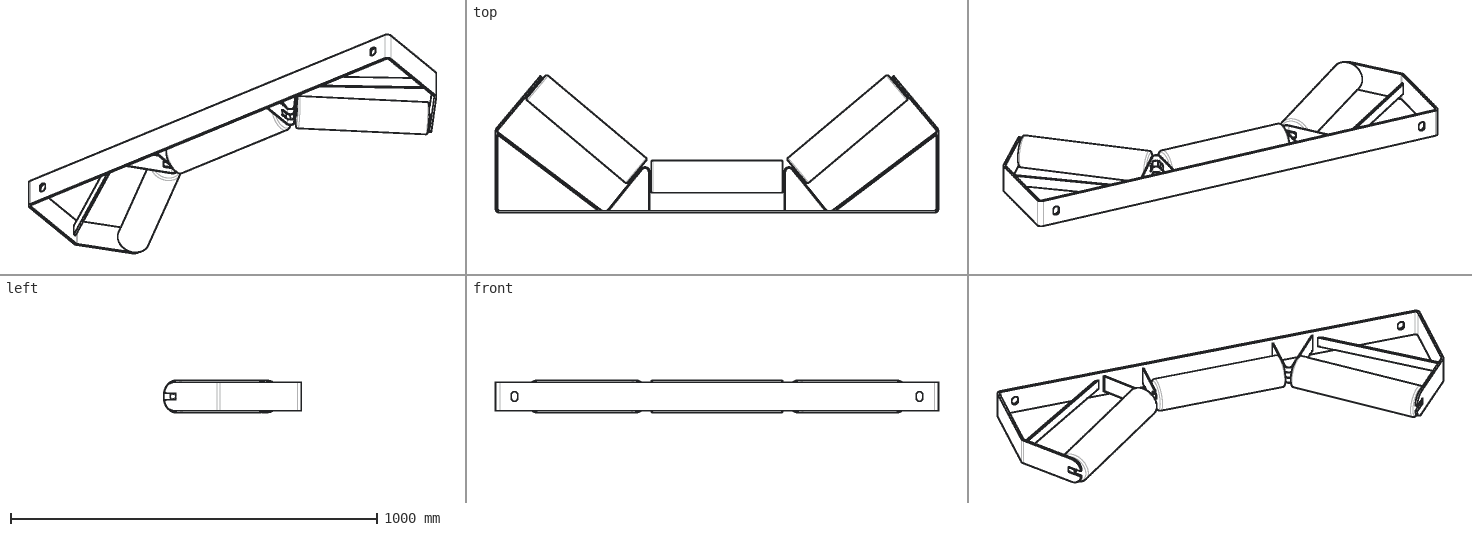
import cadquery as cq
import math

trough_angle = math.radians(40)
cos_t = math.cos(trough_angle)
sin_t = math.sin(trough_angle)

frame_length = 1210
strap_height = 78
strap_thickness = 6
bend_radius = 12
wall_rise = 228
shaft_along_arm = 160.6
arm_tip_beyond_shaft = 30
arm_tip_radius = 30

mount_slot_width = 18
mount_slot_height = 26
mount_slot_spacing = 1106

roller_diameter = 89
roller_length = 360
roller_edge_radius = 5
roller_gap = 4
shaft_diameter = 20
shaft_flat_width = 14
middle_roller_y = 99
middle_roller_gap = 4

bracket_height = 52
bracket_thickness = 3
bracket_lean = math.radians(51)
bracket_bend_radius = 13
shaft_slot_width = 18
shaft_slot_corner_radius = 4
shaft_slot_depth = 24

brace_height = 30
brace_thickness = 6
brace_wall_y = 221
brace_foot_x = -314


def move(point, direction, distance):
    """Point reached from a start point along a direction in the XY plane."""
    return (point[0] + direction[0] * distance, point[1] + direction[1] * distance)


def plate(points, height):
    """Solid with a polygon outline in XY, centred on Z = 0."""
    return cq.Workplane("XY").polyline(points).close().extrude(height / 2, both=True)


def round_bend(body, point, radius):
    """Round the upright edge that passes through a point."""
    edge = cq.selectors.NearestToPointSelector((point[0], point[1], 0))
    return body.edges(edge).fillet(radius)


def mirrored(body):
    """Right-hand copy of a left-hand body."""
    return body.mirror("YZ")


up_arm = (sin_t, cos_t)
inward = (cos_t, -sin_t)
up_bracket = (math.cos(bracket_lean), math.sin(bracket_lean))
across_bracket = (up_bracket[1], -up_bracket[0])

half_length = frame_length / 2
wall_top = (-half_length, wall_rise)
arm_shaft = move(wall_top, up_arm, shaft_along_arm)
arm_tip = move(arm_shaft, up_arm, arm_tip_beyond_shaft)
side_roller_start = move(arm_shaft, inward, strap_thickness + roller_gap)
side_roller_end = move(side_roller_start, inward, roller_length)
bracket_shaft = move(side_roller_end, inward, roller_gap)
bracket_upright_x = -(roller_length / 2 + middle_roller_gap)


def shaft_slot(shaft_point, direction, reach):
    """Cutter for an open slot whose closed end holds a shaft and which runs on past it along a direction."""
    closed_end = shaft_diameter / 2
    slot = cq.Workplane("XY").box(reach + closed_end, shaft_slot_depth, shaft_slot_width)
    slot = slot.translate(((reach - closed_end) / 2, 0, 0))
    slot = slot.edges("|Y and <X").fillet(shaft_slot_corner_radius)
    turn = math.degrees(math.atan2(direction[1], direction[0]))
    return slot.rotate((0, 0, 0), (0, 0, 1), turn).translate((shaft_point[0], shaft_point[1], 0))


def make_frame():
    """Strap bent into a base, two walls and two arms, each arm slotted for a roller shaft."""
    inner_offset = strap_thickness * math.tan(trough_angle / 2)
    inner_x = -half_length + strap_thickness
    base_corner = (-half_length, 0)
    inner_corner = (inner_x, strap_thickness)
    inner_wall_top = (inner_x, wall_rise - inner_offset)
    half = plate(
        [
            (0, 0),
            base_corner,
            wall_top,
            arm_tip,
            move(arm_tip, inward, strap_thickness),
            inner_wall_top,
            inner_corner,
            (0, strap_thickness),
        ],
        strap_height,
    )
    for point in (base_corner, wall_top):
        half = round_bend(half, point, bend_radius)
    for point in (inner_corner, inner_wall_top):
        half = round_bend(half, point, bend_radius - strap_thickness)

    tip_middle = move(arm_tip, inward, strap_thickness / 2)
    for side in (-1, 1):
        corner_point = (tip_middle[0], tip_middle[1], side * strap_height / 2)
        corner = cq.selectors.NearestToPointSelector(corner_point)
        half = half.edges(corner).fillet(arm_tip_radius)
    half = half.cut(shaft_slot(arm_shaft, up_arm, 2 * arm_tip_beyond_shaft))

    mount_slot = (
        cq.Workplane("XZ")
        .center(-mount_slot_spacing / 2, 0)
        .slot2D(mount_slot_height, mount_slot_width, 90)
        .extrude(-strap_thickness)
    )
    half = half.cut(mount_slot)
    return half.union(mirrored(half))


def make_bracket():
    """Left inner support, slotted on both legs for the side and middle roller shafts."""

    def upright_meets(point, x):
        """Where the leaning line through a point reaches an upright line."""
        return move(point, up_bracket, (x - point[0]) / up_bracket[0])

    def base_meets(point):
        """Where the leaning line through a point reaches the top of the base."""
        return move(point, up_bracket, (strap_thickness - point[1]) / up_bracket[1])

    inner_x = bracket_upright_x - bracket_thickness
    inner_face = move(bracket_shaft, across_bracket, bracket_thickness)
    outer_apex = upright_meets(bracket_shaft, bracket_upright_x)
    inner_apex = upright_meets(inner_face, inner_x)
    body = plate(
        [
            base_meets(bracket_shaft),
            outer_apex,
            (bracket_upright_x, strap_thickness),
            (inner_x, strap_thickness),
            inner_apex,
            base_meets(inner_face),
        ],
        bracket_height,
    )
    body = round_bend(body, outer_apex, bracket_bend_radius)
    body = round_bend(body, inner_apex, bracket_bend_radius - bracket_thickness)
    reach = outer_apex[1] - middle_roller_y
    body = body.cut(shaft_slot(bracket_shaft, up_arm, reach))
    return body.cut(shaft_slot((bracket_upright_x, middle_roller_y), (0, 1), reach))


def make_brace():
    """Left diagonal strip from the wall down to the base."""
    inner_x = -half_length + strap_thickness
    run = brace_foot_x - inner_x
    drop = brace_wall_y - strap_thickness
    length = math.hypot(run, drop)
    return plate(
        [
            (inner_x, brace_wall_y),
            (brace_foot_x, strap_thickness),
            (brace_foot_x - brace_thickness * length / drop, strap_thickness),
            (inner_x, brace_wall_y - brace_thickness * length / run),
        ],
        brace_height,
    )


def make_roller(start, direction, start_shaft, end_shaft):
    """Roller along a direction, with a flattened shaft end standing out at each end."""
    plane = cq.Plane(
        origin=(start[0], start[1], 0),
        xDir=(-direction[1], direction[0], 0),
        normal=(direction[0], direction[1], 0),
    )
    drum = cq.Workplane(plane).circle(roller_diameter / 2).extrude(roller_length)
    drum = drum.edges().fillet(roller_edge_radius)
    shaft_length = start_shaft + roller_length + end_shaft
    shaft_start = cq.Workplane(plane).workplane(offset=-start_shaft)
    shaft = shaft_start.circle(shaft_diameter / 2).extrude(shaft_length)
    flats = shaft_start.rect(shaft_diameter, shaft_flat_width).extrude(shaft_length)
    return drum.union(shaft.intersect(flats))


frame = make_frame()
left_bracket = make_bracket()
left_brace = make_brace()
left_roller = make_roller(
    side_roller_start, inward, roller_gap + strap_thickness, roller_gap + bracket_thickness
)
middle_shaft_end = middle_roller_gap + bracket_thickness
middle_roller = make_roller(
    (-roller_length / 2, middle_roller_y), (1, 0), middle_shaft_end, middle_shaft_end
)

bodies = [frame, middle_roller]
for left_body in (left_bracket, left_brace, left_roller):
    bodies += [left_body, mirrored(left_body)]

result = cq.Compound.makeCompound([body.val() for body in bodies])